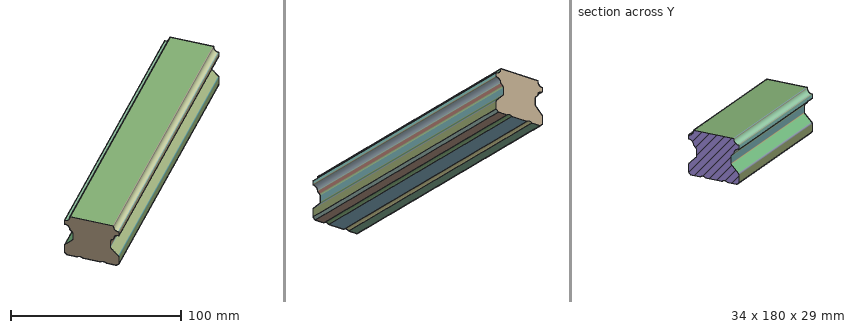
import cadquery as cq

rail_length = 180.0
rail_width = 34.0
rail_height = 29.0
half_width = rail_width / 2

head_half_width = 13.7
lip_top = 25.4
lip_bottom = 22.5
head_bottom = 19.5
track_size = 2.7
track_radius = 3.0
track_outer_x = head_half_width + track_size

waist_half_width = 11.7
waist_top = head_bottom - (head_half_width - waist_half_width)
foot_top = 7.0
waist_bottom = foot_top + (half_width - waist_half_width)
foot_chamfer = 1.6

head_edge_radius = 0.4
slope_edge_radius = 0.7
large_slope_radius = 1.5

relief_spacing = 14.5
relief_width = 3.6
relief_depth = 0.7


def sharp_half():
    """The +X half of the rail before its long edges are rounded."""
    outline = (
        cq.Workplane("XZ")
        .lineTo(half_width - foot_chamfer, 0)
        .lineTo(half_width, foot_chamfer)
        .lineTo(half_width, foot_top)
        .lineTo(waist_half_width, waist_bottom)
        .lineTo(waist_half_width, waist_top)
        .lineTo(head_half_width, head_bottom)
        .lineTo(head_half_width, lip_bottom - track_size)
        .radiusArc((track_outer_x, lip_bottom), track_radius)
        .lineTo(half_width, lip_bottom)
        .lineTo(half_width, lip_top)
        .lineTo(track_outer_x, lip_top)
        .radiusArc((head_half_width, lip_top + track_size), track_radius)
        .lineTo(head_half_width, rail_height)
        .lineTo(0, rail_height)
        .close()
    )
    return outline.extrude(rail_length / 2, both=True)


def round_long_edge(body, x, z, radius):
    """Round the lengthwise edge that passes through (x, z)."""
    reach = 0.02
    near_edge = cq.selectors.BoxSelector(
        (x - reach, -rail_length, z - reach),
        (x + reach, rail_length, z + reach),
    )
    return body.edges("|Y").edges(near_edge).fillet(radius)


def relief_groove(x_center):
    """Shallow arc-shaped groove along the underside."""
    return (
        cq.Workplane("XZ")
        .moveTo(x_center - relief_width / 2, 0)
        .threePointArc((x_center, relief_depth), (x_center + relief_width / 2, 0))
        .close()
        .extrude(rail_length / 2, both=True)
    )


rounded_edges = [
    (head_half_width, rail_height, head_edge_radius),
    (half_width, lip_top, head_edge_radius),
    (half_width, lip_bottom, head_edge_radius),
    (head_half_width, head_bottom, slope_edge_radius),
    (waist_half_width, waist_top, large_slope_radius),
    (waist_half_width, waist_bottom, slope_edge_radius),
    (half_width, foot_top, large_slope_radius),
]

half_rail = sharp_half()
for edge_x, edge_z, edge_radius in rounded_edges:
    half_rail = round_long_edge(half_rail, edge_x, edge_z, edge_radius)

result = half_rail.union(half_rail.mirror("YZ"))
for side in (-1, 1):
    result = result.cut(relief_groove(side * relief_spacing / 2))